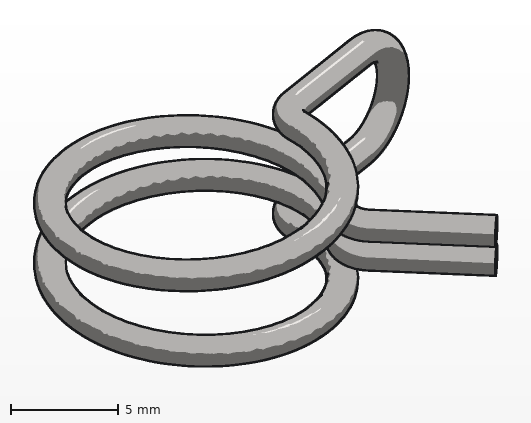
import cadquery as cq
import math


wire_diameter = 1.5
coil_radius = 6.8
overall_height = 7.0
inner_leg_height = 0.8

grip_tilt = 30.0
bend_radius = 1.4
free_leg_reach = 14.0
loop_reach = 16.23

wire_radius = wire_diameter / 2
outer_leg_height = overall_height / 2 - wire_radius
loop_radius = outer_leg_height
bend_centre_radius = coil_radius + bend_radius

bend_offset_angle = math.degrees(math.asin(bend_radius / bend_centre_radius))
bend_end_reach = math.sqrt(bend_centre_radius**2 - bend_radius**2)

free_leg_angle = 90 - grip_tilt
loop_leg_angle = 90 + grip_tilt
coil_start_angle = free_leg_angle + bend_offset_angle
coil_end_angle = loop_leg_angle - bend_offset_angle
coil_sweep = 360 + coil_end_angle - coil_start_angle
coil_rise = outer_leg_height - inner_leg_height
coil_pitch = coil_rise * 360 / coil_sweep


def polar(radius, angle, height):
    """Point at a radius, an angle in degrees from +X, and a height."""
    turn = math.radians(angle)
    return cq.Vector(radius * math.cos(turn), radius * math.sin(turn), height)


def make_coil():
    helix = cq.Wire.makeHelix(coil_pitch, coil_rise, coil_radius)
    section = cq.Workplane("XZ").center(coil_radius, 0).circle(wire_radius)
    coil = section.sweep(cq.Workplane(helix), isFrenet=True)
    return coil.rotate((0, 0, 0), (0, 0, 1), coil_start_angle).translate((0, 0, inner_leg_height))


def sweep_wire(edges, start, direction):
    """Round wire along joined edges, beginning at start and heading along direction."""
    path = cq.Wire.assembleEdges(edges)
    section = cq.Workplane(cq.Plane(origin=start, normal=direction)).circle(wire_radius)
    return section.sweep(cq.Workplane(path))


def bend_edge(coil_angle, leg_angle, height):
    """Arc from the coil end to the start of the radial leg."""
    centre = polar(bend_centre_radius, coil_angle, height)
    start = polar(coil_radius, coil_angle, height)
    end = polar(bend_end_reach, leg_angle, height)
    towards_middle = ((start + end) * 0.5 - centre).normalized()
    return cq.Edge.makeThreePointArc(start, centre + towards_middle * bend_radius, end)


def make_free_leg():
    bend = bend_edge(coil_start_angle, free_leg_angle, inner_leg_height)
    leg = cq.Edge.makeLine(bend.endPoint(), polar(free_leg_reach, free_leg_angle, inner_leg_height))
    return sweep_wire([bend, leg], bend.startPoint(), bend.tangentAt(0))


def make_loop_leg():
    """Bend, straight leg and the upper quarter turn of the closed loop."""
    bend = bend_edge(coil_end_angle, loop_leg_angle, outer_leg_height)
    loop_centre_reach = loop_reach - loop_radius
    loop_start = polar(loop_centre_reach, loop_leg_angle, outer_leg_height)
    leg = cq.Edge.makeLine(bend.endPoint(), loop_start)
    diagonal = loop_radius * math.sqrt(0.5)
    loop_middle = polar(loop_centre_reach + diagonal, loop_leg_angle, diagonal)
    loop_tip = polar(loop_reach, loop_leg_angle, 0)
    quarter_loop = cq.Edge.makeThreePointArc(loop_start, loop_middle, loop_tip)
    return sweep_wire([bend, leg, quarter_loop], bend.startPoint(), bend.tangentAt(0))


upper_half = make_coil().union(make_free_leg()).union(make_loop_leg())
result = upper_half.union(upper_half.mirror("XY"))